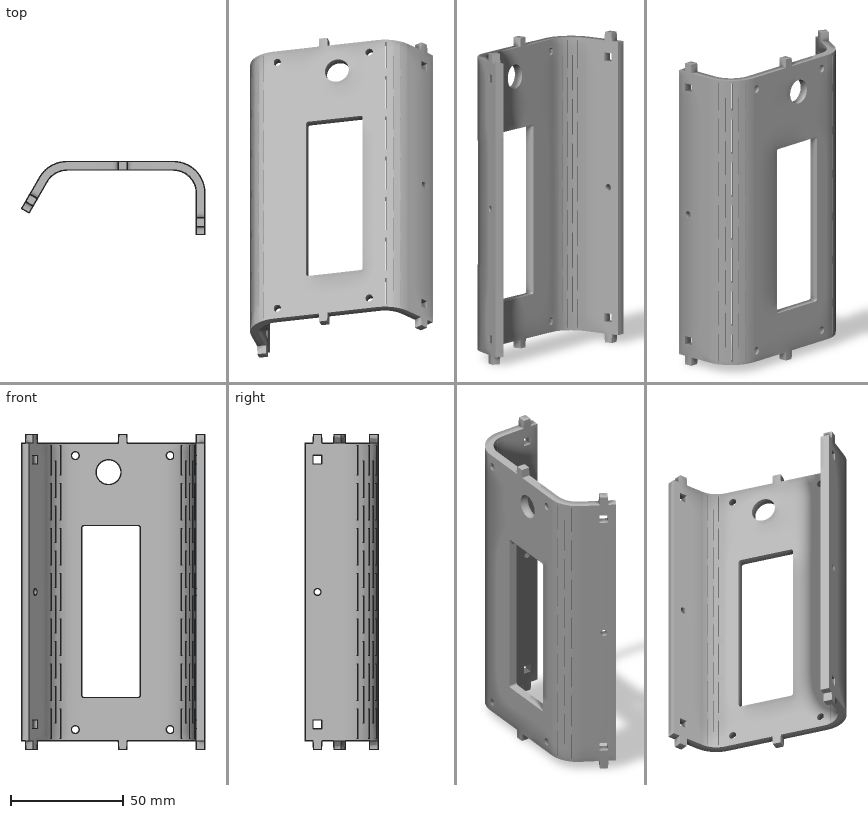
import cadquery as cq
import math

total_width = 81.8
total_depth = 32.6
total_height = 140.5

sheet = 4.0
bend_inner = 10.1
bend_outer = bend_inner + sheet
bend_middle = bend_inner + sheet / 2
left_bend_angle = 60.0
right_bend_angle = 90.0
left_leg = 16.2
right_leg = total_depth - bend_outer

tab_height = sheet
tab_width = 4.1
tab_tip_width = 3.7
leg_square_hole = 3.8
body_height = total_height - 2 * tab_height
leg_feature_inset = 5.5
leg_square_hole_z = 59.0
leg_pin_hole = 3.0

left_sin = math.sin(math.radians(left_bend_angle))
left_cos = math.cos(math.radians(left_bend_angle))
panel_width = total_width - bend_outer - bend_outer * left_sin - left_leg * left_cos
tab_x = 24.9
screw_hole = 3.4
screw_center_z = -0.3
screw_spacing_x = 42.3
screw_spacing_z = 122.1
cable_hole = 11.0
cable_hole_x = 18.5
cable_hole_z = 53.4
window_width = 26.0
window_height = 76.6
window_x = 19.7
window_z = -8.7
window_corner = 1.0

kerf = 0.3
slot_length = 16.3
slot_pitch = 20.1
slot_end_margin = 1.1
left_slot_angles = (16.0, 30.0, 44.0)
right_slot_angles = (20.0, 32.5, 45.0, 57.5, 70.0)


def bend_sector(center_x, start, sweep):
    """Ring sector of a bend, running from angle `start` through `sweep` degrees."""
    def at(radius, angle):
        a = math.radians(angle)
        return (center_x + radius * math.cos(a), -bend_outer + radius * math.sin(a))

    middle = start + sweep / 2
    end = start + sweep
    return (
        cq.Workplane("XY")
        .moveTo(*at(bend_outer, start))
        .threePointArc(at(bend_outer, middle), at(bend_outer, end))
        .lineTo(*at(bend_inner, end))
        .threePointArc(at(bend_inner, middle), at(bend_inner, start))
        .close()
        .extrude(body_height / 2, both=True)
    )


def slab(plane, x, z, width, height, thickness=sheet):
    """Rectangular block centred on the sheet's middle surface."""
    return cq.Workplane(plane).center(x, z).rect(width, height).extrude(thickness / 2, both=True)


def edge_tab(plane, x, side):
    """Slightly tapered tab on the top (side = 1) or bottom (side = -1) edge."""
    base_z = side * body_height / 2
    tip_z = side * total_height / 2
    outline = [
        (x - tab_width / 2, base_z),
        (x - tab_tip_width / 2, tip_z),
        (x + tab_tip_width / 2, tip_z),
        (x + tab_width / 2, base_z),
    ]
    return cq.Workplane(plane).polyline(outline).close().extrude(sheet / 2, both=True)


def leg_plane(center_x, angle, length):
    """Middle plane of a leg: origin at its free edge, local X towards the bend."""
    a = math.radians(angle)
    radial = (math.cos(a), math.sin(a))
    side = 1 if radial[0] > 0 else -1
    along = (-side * radial[1], side * radial[0])
    origin = (
        center_x + bend_middle * radial[0] - length * along[0],
        -bend_outer + bend_middle * radial[1] - length * along[1],
        0,
    )
    return cq.Plane(origin=origin, xDir=(along[0], along[1], 0), normal=(radial[0], radial[1], 0))


def add_leg(body, plane, length):
    """Join a leg with its edge tabs, then cut its square holes and pin hole."""
    body = body.union(slab(plane, length / 2, 0, length, body_height))
    for side in (-1, 1):
        body = body.union(edge_tab(plane, leg_feature_inset, side))
        hole_z = side * leg_square_hole_z
        hole = slab(plane, leg_feature_inset, hole_z, leg_square_hole, leg_square_hole, 2 * sheet)
        body = body.cut(hole)
    pin = cq.Workplane(plane).center(leg_feature_inset, 0)
    pin = pin.circle(leg_pin_hole / 2).extrude(sheet, both=True)
    return body.cut(pin)


def back_panel():
    """Flat panel with a tab on each end, screw holes, a cable hole and a window."""
    plane = cq.Plane(origin=(0, -sheet / 2, 0), xDir=(1, 0, 0), normal=(0, -1, 0))
    panel = slab(plane, panel_width / 2, 0, panel_width, body_height)
    for side in (-1, 1):
        panel = panel.union(edge_tab(plane, tab_x, side))
    screws = (
        cq.Workplane(plane)
        .center(tab_x, screw_center_z)
        .rect(screw_spacing_x, screw_spacing_z, forConstruction=True)
        .vertices()
        .circle(screw_hole / 2)
        .extrude(sheet, both=True)
    )
    cable = cq.Workplane(plane).center(cable_hole_x, cable_hole_z)
    cable = cable.circle(cable_hole / 2).extrude(sheet, both=True)
    window = slab(plane, window_x, window_z, window_width, window_height, 2 * sheet)
    window = window.edges("|Y").fillet(window_corner)
    return panel.cut(screws).cut(cable).cut(window)


def slot_spans(staggered):
    """Bottom and top of each slot in one row; staggered rows shift by half a pitch."""
    limit = body_height / 2 - slot_end_margin
    if staggered:
        steps = (-2.5, -1.5, -0.5, 0.5, 1.5, 2.5)
    else:
        steps = (-3, -2, -1, 0, 1, 2, 3)
    centers = [step * slot_pitch for step in steps]
    return [(max(z - slot_length / 2, -limit), min(z + slot_length / 2, limit)) for z in centers]


def cut_bend_slots(body, center_x, angles):
    """Cut radial slots through a bend, with every second row staggered."""
    for row, angle in enumerate(angles):
        for bottom, top in slot_spans(staggered=row % 2 == 1):
            slot = (
                cq.Workplane("XY")
                .box(2 * sheet, kerf, top - bottom)
                .translate((bend_middle, 0, (bottom + top) / 2))
                .rotate((0, 0, 0), (0, 0, 1), angle)
                .translate((center_x, -bend_outer, 0))
            )
            body = body.cut(slot)
    return body


left_center_x = 0
right_center_x = panel_width
up = 90

body = back_panel()
body = body.union(bend_sector(left_center_x, up, left_bend_angle))
body = body.union(bend_sector(right_center_x, up, -right_bend_angle))
body = add_leg(body, leg_plane(left_center_x, up + left_bend_angle, left_leg), left_leg)
body = add_leg(body, leg_plane(right_center_x, up - right_bend_angle, right_leg), right_leg)
body = cut_bend_slots(body, left_center_x, [up + angle for angle in left_slot_angles])
result = cut_bend_slots(body, right_center_x, [up - angle for angle in right_slot_angles])